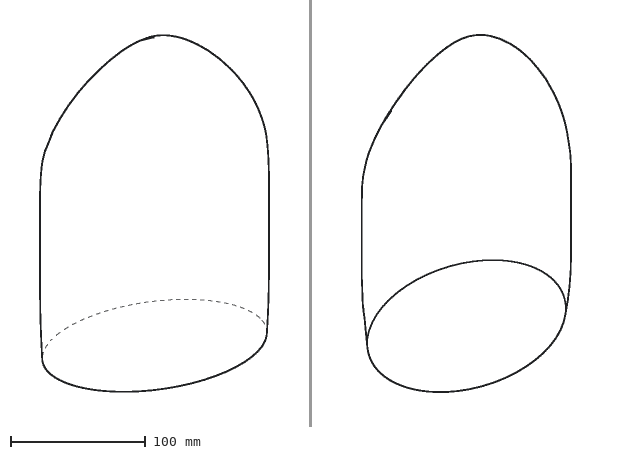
import cadquery as cq
import math

height = 256.7
body_bottom = 56.5
body_top = 131.0
shoulder_top = 156.5

body_half_x = 72.52
body_half_y = 89.97

base_half_x = 66.5
shoulder_half_x = 68.5

nose_handle_height = 202.0
tip_handle_x = 18.5
tip_handle_y = 32.5

arc_steps = 6
nose_steps = 16


def arc_radius(length, narrowing):
    """Radius of an arc that starts along Z and moves inward by narrowing over length."""
    return (length**2 + narrowing**2) / (2 * narrowing)


def bezier(controls, t):
    """Value at t of the cubic Bezier polynomial with the given control values."""
    degree = len(controls) - 1
    return sum(
        math.comb(degree, i) * t**i * (1 - t) ** (degree - i) * value
        for i, value in enumerate(controls)
    )


def ellipse(half_x, half_y, z):
    """Horizontal elliptical wire with its major axis along Y."""
    edge = cq.Edge.makeEllipse(
        half_y, half_x, cq.Vector(0, 0, z), cq.Vector(0, 0, 1), cq.Vector(0, 1, 0)
    )
    return cq.Wire.assembleEdges([edge])


def make_narrowing_band(body_z, end_z, end_half_x):
    """Band that leaves the body tangentially and narrows along X on an arc."""
    radius = arc_radius(abs(end_z - body_z), body_half_x - end_half_x)
    sections = []
    for i in range(arc_steps + 1):
        rise = (end_z - body_z) * i / arc_steps
        half_x = body_half_x - radius + math.sqrt(radius**2 - rise**2)
        sections.append(ellipse(half_x, body_half_y, body_z + rise))
    return cq.Workplane(cq.Solid.makeLoft(sections))


def make_body():
    return (
        cq.Workplane("XY")
        .workplane(offset=body_bottom)
        .ellipse(body_half_x, body_half_y)
        .extrude(body_top - body_bottom)
    )


def make_nose():
    """Rounded nose that continues the slope of the shoulder and closes at the tip."""
    shoulder_height = shoulder_top - body_top
    narrowing = body_half_x - shoulder_half_x
    shoulder_slope = shoulder_height / (arc_radius(shoulder_height, narrowing) - narrowing)
    nose_handle_x = shoulder_half_x - shoulder_slope * (nose_handle_height - shoulder_top)

    heights = [shoulder_top, nose_handle_height, height, height]
    half_widths_x = [shoulder_half_x, nose_handle_x, tip_handle_x, 0]
    half_widths_y = [body_half_y, body_half_y, tip_handle_y, 0]

    sections = []
    for i in range(nose_steps):
        t = i / nose_steps
        sections.append(
            ellipse(bezier(half_widths_x, t), bezier(half_widths_y, t), bezier(heights, t))
        )
    tip = cq.Vertex.makeVertex(0, 0, height)
    return cq.Workplane(cq.occ_impl.shapes.loft([*sections, tip], cap=True))


skirt = make_narrowing_band(body_bottom, 0, base_half_x)
shoulder = make_narrowing_band(body_top, shoulder_top, shoulder_half_x)
result = make_body().union(skirt).union(shoulder).union(make_nose())